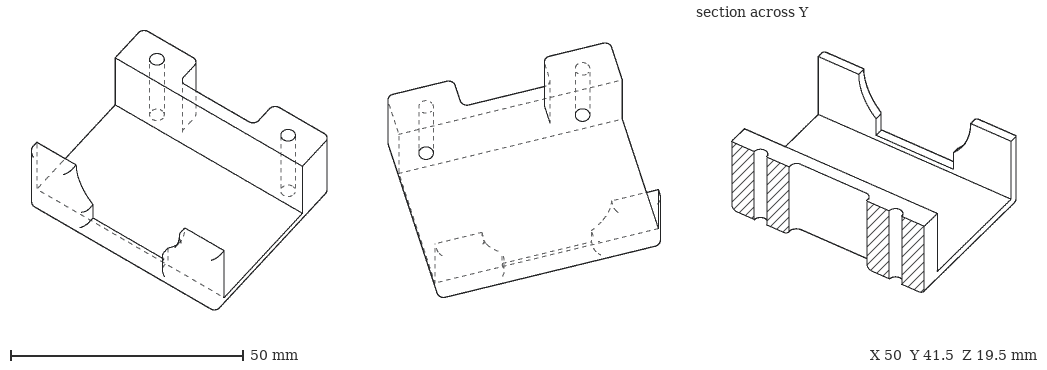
import cadquery as cq
import math

width = 50.0
depth = 41.5
height = 19.5

floor_thickness = 3.0
front_wall_thickness = 3.0
back_block_depth = 10.0
edge_radius = 1.5

slot_width = 20.0
sill_height = 4.3
arc_radius = 14.5

recess_width = slot_width
recess_depth = 7.0
hole_diameter = 3.15
hole_spacing = 35.0
hole_to_back = back_block_depth / 2


def tray_body():
    """U-shaped channel, open at both ends, resting on Z = 0 with its front at Y = 0."""
    cavity_depth = depth - front_wall_thickness - back_block_depth
    block = cq.Workplane("XY").box(width, depth, height, centered=(True, False, False))
    cavity = (
        cq.Workplane("XY", origin=(0, front_wall_thickness, floor_thickness))
        .box(width, cavity_depth, height, centered=(True, False, False))
    )
    return block.cut(cavity)


def back_recess():
    """Full-height recess in the middle of the back block."""
    return (
        cq.Workplane("XY", origin=(0, depth - recess_depth, 0))
        .box(recess_width, recess_depth, height, centered=(True, False, False))
    )


def front_opening():
    """Cutter for the front wall; the arc is centred on the top edge of the wall."""
    half_slot = slot_width / 2
    arc_meets_slot = height - math.sqrt(arc_radius**2 - half_slot**2)
    arc_middle_angle = math.acos(half_slot / arc_radius) / 2
    arc_middle_x = arc_radius * math.cos(arc_middle_angle)
    arc_middle_z = height - arc_radius * math.sin(arc_middle_angle)
    return (
        cq.Workplane("XZ")
        .moveTo(-half_slot, sill_height)
        .lineTo(half_slot, sill_height)
        .lineTo(half_slot, arc_meets_slot)
        .threePointArc((arc_middle_x, arc_middle_z), (arc_radius, height))
        .lineTo(-arc_radius, height)
        .threePointArc((-arc_middle_x, arc_middle_z), (-half_slot, arc_meets_slot))
        .close()
        .extrude(-front_wall_thickness)
    )


def mounting_holes():
    """Two vertical through holes in the back block."""
    return (
        cq.Workplane("XY")
        .pushPoints([(side * hole_spacing / 2, depth - hole_to_back) for side in (-1, 1)])
        .circle(hole_diameter / 2)
        .extrude(height)
    )


body = tray_body().cut(back_recess())

recess_corners = cq.selectors.BoxSelector(
    (-width, depth - recess_depth - edge_radius, 0),
    (width, depth + edge_radius, height),
)
body = body.edges("|Z").edges(recess_corners).fillet(edge_radius)

body = body.cut(front_opening())
body = body.faces("<Y or <Z").edges().fillet(edge_radius)

result = body.cut(mounting_holes())